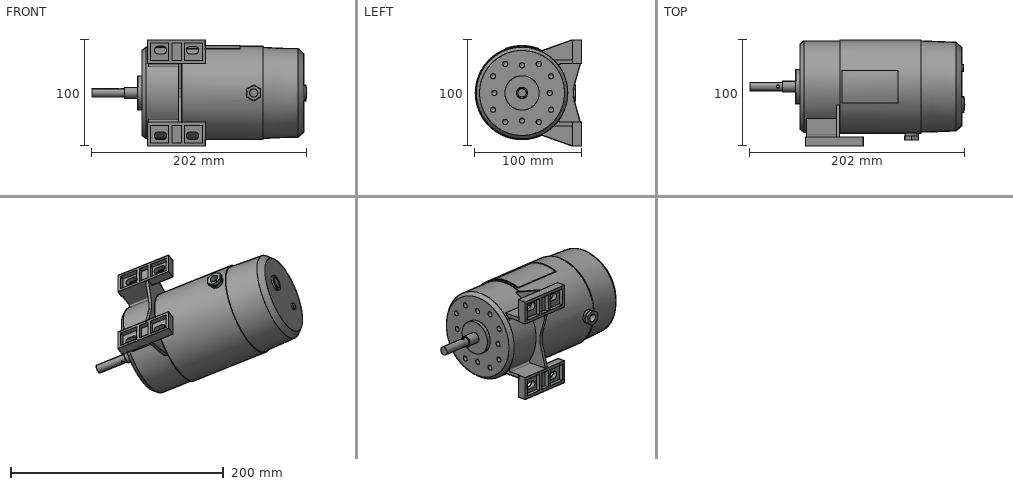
import cadquery as cq
import math


shaft_step_x = 30.5
hub_x = 42.8
front_face_x = 46.9
front_chamfer_end_x = 51.0
body_start_x = 84.6
body_end_x = 161.0
rear_chamfer_x = 193.7
rear_face_x = 199.4
total_length = 202.0

shaft_radius = 4.0
shaft_shoulder_radius = 5.3
hub_radius = 16.2
front_face_radius = 40.0
drum_radius = 43.0
body_radius = 44.0
cap_end_radius = 41.8
rear_face_radius = 36.8

cross_hole_x = 26.3
cross_hole_diameter = 2.5

face_hole_diameter = 4.8
face_hole_depth = 8.0
drill_point_depth = 1.5
outer_hole_circle = 31.5
inner_hole_circle = 26.0
outer_hole_angles = [quarter + offset for quarter in (0, 90, 180, 270) for offset in (30, 60)]
inner_hole_angles = [0, 90, 180, 270]

plate_start_x = 86.7
plate_length = 52.5
plate_width = 30.5
plate_thickness = 0.6

overall_height = 100.0
foot_start_x = 52.1
foot_length = 54.5
foot_thickness = 8.7
foot_edge_fillet = 1.0
foot_inner_z = 27.5
foot_outer_z = overall_height / 2
foot_bottom_y = body_radius - overall_height
foot_top_y = foot_bottom_y + foot_thickness
foot_mid_z = (foot_inner_z + foot_outer_z) / 2

foot_pockets = [(3.0, 17.0), (23.2, 8.9), (35.0, 17.0)]
foot_pocket_width = 16.5
foot_pocket_depth = 4.0

slot_distances = [12.3, 42.5]
slot_length = 11.5
slot_width = 7.0
slot_z = 40.2

rib_start_x = 53.1
rib_thickness = 3.5
rib_fillet = 1.6
web_start_x = 81.2
web_thickness = 3.0
web_corner_y = -55.0
web_waist_y = -48.3
web_waist_half_height = 4.0
web_shoulder_y = -17.4
web_shoulder_z = math.sqrt(drum_radius**2 - web_shoulder_y**2)

fitting_x = 152.1
fitting_neck_radius = 6.5
fitting_bore_radius = 3.8
fitting_end_y = -50.3
hex_height = 3.6
hex_across_flats = 13.1

large_plug_y = -17.0
large_plug_radius = 7.5
large_plug_height = 1.8
plug_tip_radius = 5.3
plug_tip_rim_height = 2.2
small_plug_y = 17.5
small_plug_radius = 3.2
small_plug_height = 1.6


def x_cylinder(start_x, end_x, radius, y=0.0):
    return cq.Workplane("YZ", origin=(start_x, y, 0)).circle(radius).extrude(end_x - start_x)


def make_motor():
    profile = [
        (0, 0),
        (0, shaft_radius),
        (shaft_step_x, shaft_radius),
        (shaft_step_x, shaft_shoulder_radius),
        (hub_x, shaft_shoulder_radius),
        (hub_x, hub_radius),
        (front_face_x, hub_radius),
        (front_face_x, front_face_radius),
        (front_chamfer_end_x, drum_radius),
        (body_start_x, drum_radius),
        (body_start_x, body_radius),
        (body_end_x, body_radius),
        (body_end_x, drum_radius),
        (rear_chamfer_x, cap_end_radius),
        (rear_face_x, rear_face_radius),
        (rear_face_x, 0),
    ]
    return cq.Workplane("XY").polyline(profile).close().revolve(360, (0, 0, 0), (1, 0, 0))


def make_face_hole(circle_radius, angle):
    """Drilled hole with a conical bottom, entering from the front face."""
    radius = face_hole_diameter / 2
    profile = [
        (0, 0),
        (0, radius),
        (face_hole_depth, radius),
        (face_hole_depth + drill_point_depth, 0),
    ]
    hole = cq.Workplane("XY").polyline(profile).close().revolve(360, (0, 0, 0), (1, 0, 0))
    direction = math.radians(angle)
    return hole.translate(
        (front_face_x, circle_radius * math.cos(direction), circle_radius * math.sin(direction))
    )


def make_cross_hole():
    cutter = cq.Workplane("XY", origin=(cross_hole_x, 0, -shaft_shoulder_radius))
    return cutter.circle(cross_hole_diameter / 2).extrude(2 * shaft_shoulder_radius)


def make_name_plate():
    outer_radius = body_radius + plate_thickness
    ring = x_cylinder(plate_start_x, plate_start_x + plate_length, outer_radius)
    ring = ring.cut(x_cylinder(plate_start_x, plate_start_x + plate_length, body_radius - plate_thickness))
    window = cq.Workplane("XY").box(
        plate_length, plate_width, outer_radius, centered=(False, True, False)
    )
    return ring.intersect(window.translate((plate_start_x, 0, 0)))


def make_foot():
    foot = cq.Workplane("XY").box(
        foot_length, foot_thickness, foot_outer_z - foot_inner_z, centered=False
    )
    foot = foot.translate((foot_start_x, foot_bottom_y, foot_inner_z))
    foot = foot.edges("|X and >Y and <Z").fillet(foot_edge_fillet)
    for distance, length in foot_pockets:
        pocket = cq.Workplane("XY").box(
            length, foot_pocket_depth, foot_pocket_width, centered=(False, False, True)
        )
        foot = foot.cut(pocket.translate((foot_start_x + distance, foot_bottom_y, foot_mid_z)))
    for distance in slot_distances:
        slot = cq.Workplane("XZ", origin=(foot_start_x + distance, foot_top_y, slot_z))
        foot = foot.cut(slot.slot2D(slot_length, slot_width).extrude(foot_thickness))
    return foot


def make_rib():
    """Plate from inside the drum into the foot, flush with the foot's inner side."""
    rib_root_y = -drum_radius / 2
    rib_end_y = foot_top_y - foot_edge_fillet
    rib = cq.Workplane("XY").box(
        web_start_x - rib_start_x, rib_root_y - rib_end_y, rib_thickness, centered=False
    )
    return rib.translate((rib_start_x, rib_end_y, foot_inner_z))


def fillet_rib_roots(part):
    """Round the corners where the ribs meet the drum and the foot tops."""
    rib_outer_z = foot_inner_z + rib_thickness
    for side in (1, -1):
        for y, z in (
            (foot_top_y, rib_outer_z),
            (-math.sqrt(drum_radius**2 - foot_inner_z**2), foot_inner_z),
        ):
            middle = ((rib_start_x + web_start_x) / 2, y, side * z)
            part = part.edges(cq.selectors.NearestToPointSelector(middle)).fillet(rib_fillet)
    return part


def make_web():
    """Cross web behind the ribs, waisted between the two feet."""
    overlap_y = foot_top_y - foot_edge_fillet
    upper_half = [
        (web_shoulder_y, web_shoulder_z),
        (foot_top_y, foot_outer_z),
        (overlap_y, foot_outer_z),
        (overlap_y, foot_inner_z),
        (web_corner_y, foot_inner_z),
        (web_waist_y, web_waist_half_height),
    ]
    lower_half = [(y, -z) for y, z in reversed(upper_half)]
    outline = cq.Workplane("YZ", origin=(web_start_x, 0, 0)).polyline(upper_half + lower_half)
    return outline.close().extrude(web_thickness)


def make_cable_fitting():
    """Round neck with a hexagonal head and a bore that ends at the body surface."""
    hex_diameter = hex_across_flats / math.cos(math.pi / 6)
    head_y = fitting_end_y + hex_height
    inner_y = -body_radius + fitting_neck_radius
    neck = cq.Workplane("XZ", origin=(fitting_x, inner_y, 0))
    neck = neck.circle(fitting_neck_radius).extrude(inner_y - head_y)
    head = cq.Workplane("XZ", origin=(fitting_x, head_y, 0)).transformed(rotate=(0, 0, 90))
    head = head.polygon(6, hex_diameter).extrude(hex_height)
    bore = cq.Workplane("XZ", origin=(fitting_x, inner_y, 0))
    bore = bore.circle(fitting_bore_radius).extrude(inner_y - fitting_end_y)
    return neck.union(head).cut(bore)


def make_rear_plugs():
    """Small round plug and a stepped plug whose tip is a very shallow cone."""
    large = x_cylinder(rear_face_x, rear_face_x + large_plug_height, large_plug_radius, large_plug_y)
    tip_rim_x = rear_face_x + plug_tip_rim_height
    tip_profile = cq.Workplane("XY").polyline(
        [(rear_face_x, 0), (rear_face_x, plug_tip_radius), (tip_rim_x, plug_tip_radius), (total_length, 0)]
    )
    tip = tip_profile.close().revolve(360, (0, 0, 0), (1, 0, 0)).translate((0, large_plug_y, 0))
    small = x_cylinder(rear_face_x, rear_face_x + small_plug_height, small_plug_radius, small_plug_y)
    return large.union(tip).union(small)


result = make_motor()
mount = make_foot().union(make_rib())
result = result.union(mount).union(mount.mirror("XY"))
result = fillet_rib_roots(result)
result = result.union(make_web())

result = result.union(make_name_plate())
result = result.union(make_cable_fitting())
result = result.union(make_rear_plugs())

result = result.cut(make_cross_hole())
for hole_angle in outer_hole_angles:
    result = result.cut(make_face_hole(outer_hole_circle, hole_angle))
for hole_angle in inner_hole_angles:
    result = result.cut(make_face_hole(inner_hole_circle, hole_angle))